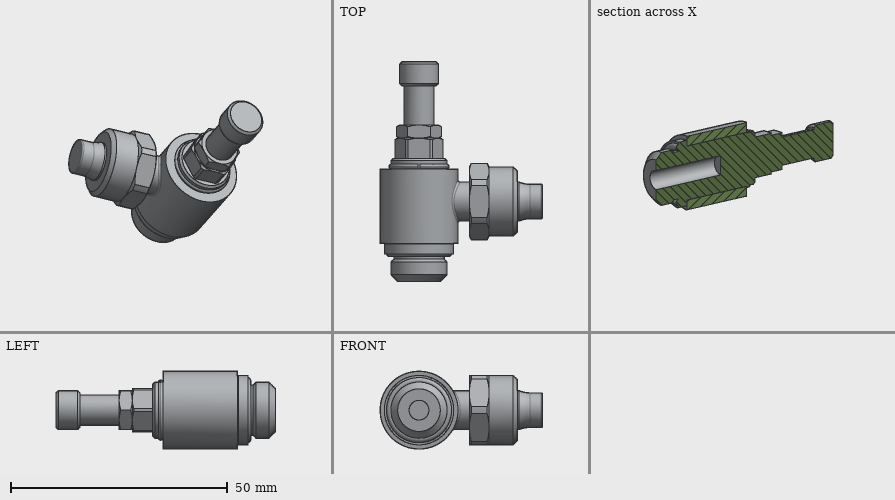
import cadquery as cq
import math


CUTTER_SIZE = 30.45

STEM_BOTTOM_Y = -18.45
TOTAL_LENGTH = 50.75
STEM_TOP_Y = STEM_BOTTOM_Y + TOTAL_LENGTH
SCREW_IN_LENGTH = 8.85
HOUSING_BOTTOM_Y = STEM_BOTTOM_Y + SCREW_IN_LENGTH
HOUSING_LENGTH = 17.15
HOUSING_TOP_Y = HOUSING_BOTTOM_Y + HOUSING_LENGTH

HOUSING_DIAMETER = 18.0
HOUSING_RADIUS = HOUSING_DIAMETER / 2
BODY_RADIUS = 6.5
ARM_FILLET = 0.5
SELECTION_MARGIN = 0.5

ARM_RADIUS = 4.5
NUT_START_X = 11.6
NUT_END_X = 16.2
CAP_RADIUS = 8.0
CAP_END_X = 22.7
CAP_CHAMFER = 0.95
NECK_END_X = 23.1
TUBE_START_X = 25.6
TUBE_RADIUS = 4.0
OVERALL_WIDTH = 37.5
PORT_END_X = OVERALL_WIDTH - HOUSING_RADIUS
TUBE_END_FILLET = 0.3
NUT_CORNER_RADIUS = 8.85

END_CHAMFER = 1.55
THREAD_LENGTH = 4.5
NECK_RADIUS = 5.85
THREAD_RELIEF = BODY_RADIUS - NECK_RADIUS
FLANGE_RADIUS = 8.0
FLANGE_CHAMFER = 0.2
FLANGE_LENGTH = 2.5
FLANGE_START_Y = HOUSING_BOTTOM_Y - FLANGE_LENGTH
SEAL_TUBE_RADIUS = 0.85
SEAL_CENTRE_RADIUS = 6.7
SEAL_INSET = 0.25
SEAL_CENTRE_Y = FLANGE_START_Y + SEAL_INSET
HOLE_RADIUS = 2.3

RING_TUBE_RADIUS = 0.55
RING_CENTRE_RADIUS = 6.4
RING_GAP = 0.45
COLLAR_LENGTH = 2.45
COLLAR_TOP_Y = HOUSING_TOP_Y + COLLAR_LENGTH
COLLAR_CHAMFER = 0.5

HEX_ACROSS_FLATS = 10.0
HEX_CORNER_RADIUS = 5.6
HEX_LENGTH = 4.65
HEX_TOP_Y = COLLAR_TOP_Y + HEX_LENGTH
LOCKNUT_ACROSS_FLATS = 9.05
LOCKNUT_LENGTH = 3.05
LOCKNUT_TOP_Y = HEX_TOP_Y + LOCKNUT_LENGTH
SHAFT_RADIUS = 3.5
KNOB_RADIUS = 4.5
KNOB_LENGTH = 5.6
KNOB_CHAMFER = 0.55

HEX_CHAMFER_ANGLE = math.radians(30)
HEX_HALF_ANGLE = math.radians(30)


def turned_y(points):
    """Solid of revolution about Y from (radius, y) points; it closes along the axis."""
    outline = [(0, points[0][1])] + points + [(0, points[-1][1])]
    return cq.Workplane("XY").polyline(outline).close().revolve(360, (0, 0), (0, 1))


def ring_y(centre_radius, tube_radius, y):
    """Round-section ring about the Y axis."""
    return cq.Workplane("XY").center(centre_radius, y).circle(tube_radius).revolve(
        360, (-centre_radius, 0), (-centre_radius, 1))


def turned_hexagon(across_flats, corner_radius, length, chamfer_both_ends):
    """Hexagon along +Z from Z = 0 with flats facing local +-Y and turned corners and ends."""
    flat_radius = across_flats / 2
    corner_diameter = across_flats / math.cos(HEX_HALF_ANGLE)
    chamfer_height = (corner_radius - flat_radius) * math.tan(HEX_CHAMFER_ANGLE)
    blank = cq.Workplane("XY").polygon(6, corner_diameter).extrude(length)
    outline = [(0, 0)]
    if chamfer_both_ends:
        outline += [(flat_radius, 0), (corner_radius, chamfer_height)]
    else:
        outline += [(corner_radius, 0)]
    outline += [(corner_radius, length - chamfer_height), (flat_radius, length), (0, length)]
    envelope = cq.Workplane("XZ").polyline(outline).close().revolve(360, (0, 0), (0, 1))
    return blank.intersect(envelope)


def hexagon_along_y(across_flats, corner_radius, length, chamfer_both_ends, y):
    """Turned hexagon pointing up the stem, with flats facing +-Z."""
    hexagon = turned_hexagon(across_flats, corner_radius, length, chamfer_both_ends)
    return hexagon.rotate((0, 0, 0), (1, 0, 0), -90).translate((0, y, 0))


def flare_radius(length, drop):
    """Radius of an arc that covers this length and drop and is tangent to the axis direction."""
    return (length ** 2 + drop ** 2) / (2 * drop)


def make_port_fitting():
    """Nut, cap and stepped tube end on the side port."""
    nut = turned_hexagon(2 * CAP_RADIUS, NUT_CORNER_RADIUS, NUT_END_X - NUT_START_X, True)
    nut = nut.rotate((0, 0, 0), (0, 0, 1), 90).rotate((0, 0, 0), (0, 1, 0), 90)
    nut = nut.translate((NUT_START_X, 0, 0))

    flare = flare_radius(TUBE_START_X - NECK_END_X, ARM_RADIUS - TUBE_RADIUS)
    tube_end_arc_x = PORT_END_X - TUBE_END_FILLET
    turned = (
        cq.Workplane("XY")
        .moveTo(NUT_END_X, 0)
        .lineTo(NUT_END_X, CAP_RADIUS)
        .lineTo(CAP_END_X - CAP_CHAMFER, CAP_RADIUS)
        .lineTo(CAP_END_X, CAP_RADIUS - CAP_CHAMFER)
        .lineTo(CAP_END_X, ARM_RADIUS)
        .lineTo(NECK_END_X, ARM_RADIUS)
        .radiusArc((TUBE_START_X, TUBE_RADIUS), -flare)
        .lineTo(tube_end_arc_x, TUBE_RADIUS)
        .radiusArc((PORT_END_X, TUBE_RADIUS - TUBE_END_FILLET), TUBE_END_FILLET)
        .lineTo(PORT_END_X, 0)
        .close()
        .revolve(360, (0, 0), (1, 0))
    )
    return nut.union(turned)


def make_housing():
    """Sleeve with the side arm and its fitting, bored for the stem."""
    sleeve = turned_y([(HOUSING_RADIUS, HOUSING_BOTTOM_Y), (HOUSING_RADIUS, HOUSING_TOP_Y)])
    arm = cq.Workplane("YZ").circle(ARM_RADIUS).extrude(NUT_START_X)
    body = sleeve.union(arm)
    half_arm = ARM_RADIUS + SELECTION_MARGIN
    junction = cq.selectors.BoxSelector(
        (ARM_RADIUS, -half_arm, -half_arm),
        (HOUSING_RADIUS + SELECTION_MARGIN, half_arm, half_arm), boundingbox=True)
    body = body.edges(junction).fillet(ARM_FILLET)
    bore = turned_y([(BODY_RADIUS, HOUSING_BOTTOM_Y), (BODY_RADIUS, HOUSING_TOP_Y)])
    return body.union(make_port_fitting()).cut(bore)


def make_stem_core():
    """Turned stem from the threaded end up to the chamfered collar."""
    thread_top_y = STEM_BOTTOM_Y + THREAD_LENGTH
    return turned_y([
        (BODY_RADIUS - END_CHAMFER, STEM_BOTTOM_Y),
        (BODY_RADIUS, STEM_BOTTOM_Y + END_CHAMFER),
        (BODY_RADIUS, thread_top_y),
        (NECK_RADIUS, thread_top_y + THREAD_RELIEF),
        (NECK_RADIUS, FLANGE_START_Y),
        (FLANGE_RADIUS, FLANGE_START_Y),
        (FLANGE_RADIUS, HOUSING_BOTTOM_Y - FLANGE_CHAMFER),
        (FLANGE_RADIUS - FLANGE_CHAMFER, HOUSING_BOTTOM_Y),
        (BODY_RADIUS, HOUSING_BOTTOM_Y),
        (BODY_RADIUS, COLLAR_TOP_Y - COLLAR_CHAMFER),
        (BODY_RADIUS - COLLAR_CHAMFER, COLLAR_TOP_Y),
    ])


def make_retaining_ring():
    """Round-section ring seated on the housing, split on its +Z side."""
    ring = ring_y(RING_CENTRE_RADIUS, RING_TUBE_RADIUS, HOUSING_TOP_Y + RING_TUBE_RADIUS)
    gap = cq.Workplane("XY").box(RING_GAP, CUTTER_SIZE, CUTTER_SIZE, centered=(True, True, False))
    gap = gap.translate((0, HOUSING_TOP_Y, 0))
    return ring.cut(gap)


def make_adjuster():
    """Hexagon, locknut, shaft and knob above the collar."""
    hexagon = hexagon_along_y(HEX_ACROSS_FLATS, HEX_CORNER_RADIUS, HEX_LENGTH, False, COLLAR_TOP_Y)
    locknut_corner = LOCKNUT_ACROSS_FLATS / 2 / math.cos(HEX_HALF_ANGLE)
    locknut = hexagon_along_y(LOCKNUT_ACROSS_FLATS, locknut_corner, LOCKNUT_LENGTH, True, HEX_TOP_Y)
    knob_bottom_y = STEM_TOP_Y - KNOB_LENGTH
    shaft_and_knob = turned_y([
        (SHAFT_RADIUS, LOCKNUT_TOP_Y),
        (SHAFT_RADIUS, knob_bottom_y),
        (KNOB_RADIUS - KNOB_CHAMFER, knob_bottom_y),
        (KNOB_RADIUS, knob_bottom_y + KNOB_CHAMFER),
        (KNOB_RADIUS, STEM_TOP_Y - KNOB_CHAMFER),
        (KNOB_RADIUS - KNOB_CHAMFER, STEM_TOP_Y),
    ])
    return hexagon.union(locknut).union(shaft_and_knob)


def make_stem():
    """Stem with its seal, retaining ring, adjuster and a blind hole up to the port axis."""
    seal = ring_y(SEAL_CENTRE_RADIUS, SEAL_TUBE_RADIUS, SEAL_CENTRE_Y)
    hole = turned_y([(HOLE_RADIUS, STEM_BOTTOM_Y), (HOLE_RADIUS, 0)])
    stem = make_stem_core().union(seal).union(make_retaining_ring())
    return stem.union(make_adjuster()).cut(hole)


housing = make_housing()
stem = make_stem()

result = cq.Compound.makeCompound([housing.solids().val(), stem.solids().val()])